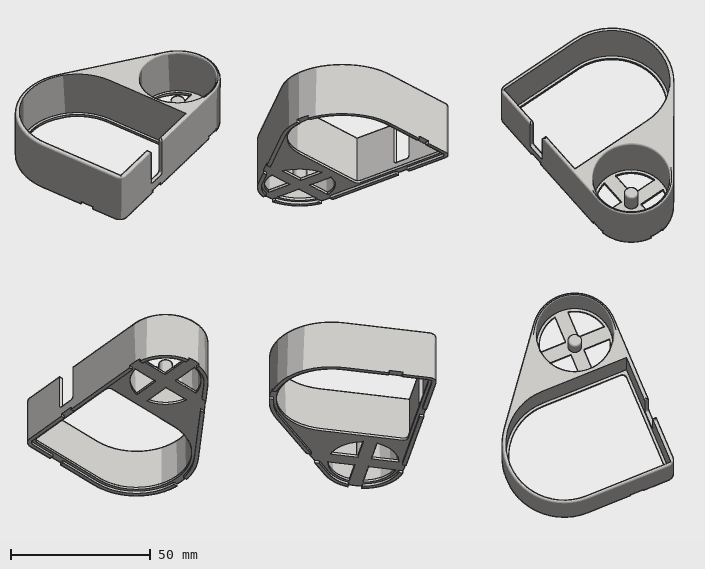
import cadquery as cq
import math

length_x = 56.5
length_y = 73.5
height = 20.0
wall = 1.5
floor = 2.0
edge_round = 1.0
corner_radius = 3.0

bay_outer_radius = 22.3
bay_x = bay_outer_radius
bay_y = bay_outer_radius
bay_radius = bay_outer_radius - wall
ledge = 1.0
opening_corner_radius = 1.8

cup_diameter = 27.5
cup_radius = cup_diameter / 2
cup_outer_radius = cup_radius + wall
cup_x = length_x - cup_outer_radius
cup_y = length_y - cup_outer_radius
window_radius = cup_radius - ledge
spoke_width = 5.0
pin_diameter = 5.0
pin_top = 9.55

slot_width = 7.0
slot_bottom = 4.5
notch_width = 5.0
recess_depth = 1.0


def make_outline():
    """Plan outline: both round ends joined by their common tangent, square -Y/+X corner."""
    center_distance = math.hypot(cup_x - bay_x, cup_y - bay_y)
    center_angle = math.atan2(cup_y - bay_y, cup_x - bay_x)
    normal = center_angle + math.acos((bay_outer_radius - cup_outer_radius) / center_distance)

    def on_bay(angle):
        return (bay_x + bay_outer_radius * math.cos(angle), bay_y + bay_outer_radius * math.sin(angle))

    def on_cup(angle):
        return (cup_x + cup_outer_radius * math.cos(angle), cup_y + cup_outer_radius * math.sin(angle))

    return (
        cq.Workplane("XY")
        .moveTo(bay_x, 0)
        .lineTo(length_x - corner_radius, 0)
        .radiusArc((length_x, corner_radius), -corner_radius)
        .lineTo(length_x, cup_y)
        .threePointArc(on_cup(normal / 2), on_cup(normal))
        .lineTo(*on_bay(normal))
        .threePointArc(on_bay((normal + 1.5 * math.pi) / 2), (bay_x, 0))
        .close()
    )


def make_body():
    return make_outline().extrude(height).faces(">Z").edges().fillet(edge_round)


def bay_prism(inset, bottom, top):
    """D-shaped prism, inset from the inner faces of the bay walls."""
    radius = bay_radius - inset
    right = length_x - wall - inset
    return (
        cq.Workplane("XY", origin=(0, 0, bottom))
        .moveTo(bay_x, bay_y - radius)
        .lineTo(right, bay_y - radius)
        .lineTo(right, bay_y + radius)
        .lineTo(bay_x, bay_y + radius)
        .threePointArc((bay_x - radius, bay_y), (bay_x, bay_y - radius))
        .close()
        .extrude(top - bottom)
    )


def cut_bay(body):
    opening = bay_prism(ledge, 0, floor).edges("|Z and >X").fillet(opening_corner_radius)
    return body.cut(bay_prism(0, floor, height)).cut(opening)


def cut_cup(body):
    """Bore whose mouth flares outward along a convex quarter round."""
    arc_offset = edge_round * (1 - math.sqrt(0.5))
    bore = (
        cq.Workplane("XZ")
        .moveTo(0, floor)
        .lineTo(cup_radius, floor)
        .lineTo(cup_radius, height - edge_round)
        .threePointArc(
            (cup_radius + arc_offset, height - arc_offset),
            (cup_radius + edge_round, height),
        )
        .lineTo(0, height)
        .close()
        .revolve(360, (0, 0, 0), (0, 1, 0))
        .translate((cup_x, cup_y, 0))
    )
    return body.cut(bore)


def cut_windows(body):
    """Four quadrant openings that leave a cross of spokes in the cup floor."""
    disc = cq.Workplane("XY").circle(window_radius).extrude(floor)
    spokes = (
        cq.Workplane("XY")
        .rect(cup_diameter, spoke_width)
        .extrude(floor)
        .union(cq.Workplane("XY").rect(spoke_width, cup_diameter).extrude(floor))
    )
    return body.cut(disc.cut(spokes).translate((cup_x, cup_y, 0)))


def make_pin():
    return (
        cq.Workplane("XY", origin=(cup_x, cup_y, recess_depth))
        .circle(pin_diameter / 2)
        .extrude(pin_top - recess_depth)
        .faces(">Z")
        .edges()
        .fillet(edge_round)
    )


def cut_slot(body):
    """Slot open at the top, with rounded lower corners and a rounded mouth."""
    half = slot_width / 2
    mouth = half + edge_round
    slot = (
        cq.Workplane("YZ", origin=(length_x - wall, bay_y, 0))
        .moveTo(edge_round - half, slot_bottom)
        .lineTo(half - edge_round, slot_bottom)
        .radiusArc((half, slot_bottom + edge_round), -edge_round)
        .lineTo(half, height - edge_round)
        .radiusArc((mouth, height), edge_round)
        .lineTo(-mouth, height)
        .radiusArc((-half, height - edge_round), edge_round)
        .lineTo(-half, slot_bottom + edge_round)
        .radiusArc((edge_round - half, slot_bottom), -edge_round)
        .close()
        .extrude(wall)
    )
    return body.cut(slot)


def cut_underside(body):
    """Shallow recess inside a rim of wall thickness."""
    return body.cut(make_outline().offset2D(-wall).extrude(recess_depth))


def cut_rim_notches(body):
    """Notches through the bottom rim: one pair along Y at the cup, two pairs along X."""
    along_y = cq.Workplane("XY").box(notch_width, length_y, recess_depth, centered=(True, False, False))
    along_x = cq.Workplane("XY").box(length_x, notch_width, recess_depth, centered=(False, True, False))
    body = body.cut(along_y.translate((cup_x, 0, 0)))
    for y in (bay_y, cup_y):
        body = body.cut(along_x.translate((0, y, 0)))
    return body


result = make_body()
result = cut_bay(result)
result = cut_cup(result)
result = cut_windows(result)
result = cut_slot(result)
result = cut_underside(result)
result = cut_rim_notches(result)
result = result.union(make_pin())